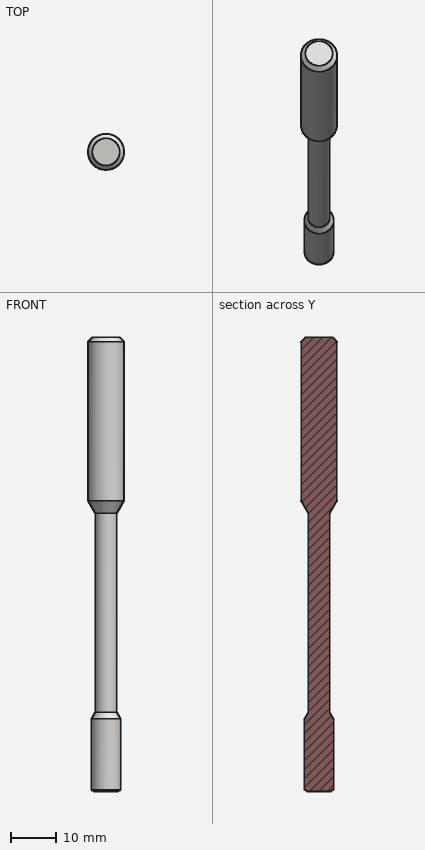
import cadquery as cq
import math

total_length = 100.0

shank_radius = 8.0 / 2
shank_length = 36.0
shank_chamfer = 1.0

neck_radius = 4.8 / 2

head_radius = 6.5 / 2
head_length = 16.0
head_chamfer_width = 0.7

head_chamfer_angle = math.radians(30.0)

cone_angle = math.radians(30.0)


def cone_height(large_radius, small_radius):
    """Axial height of a transition cone between two radii."""
    return (large_radius - small_radius) / math.tan(cone_angle)


head_chamfer_top = head_chamfer_width * math.tan(head_chamfer_angle)
shank_bottom = total_length - shank_length
neck_top = shank_bottom - cone_height(shank_radius, neck_radius)
neck_bottom = head_length + cone_height(head_radius, neck_radius)


def make_tool():
    """Revolve the half profile, drawn on the -X side of the axis, about Z."""
    profile = [
        (0, 0),
        (-(head_radius - head_chamfer_width), 0),
        (-head_radius, head_chamfer_top),
        (-head_radius, head_length),
        (-neck_radius, neck_bottom),
        (-neck_radius, neck_top),
        (-shank_radius, shank_bottom),
        (-shank_radius, total_length - shank_chamfer),
        (-(shank_radius - shank_chamfer), total_length),
        (0, total_length),
    ]
    return cq.Workplane("XZ").polyline(profile).close().revolve(360, (0, 0), (0, 1))


result = make_tool()